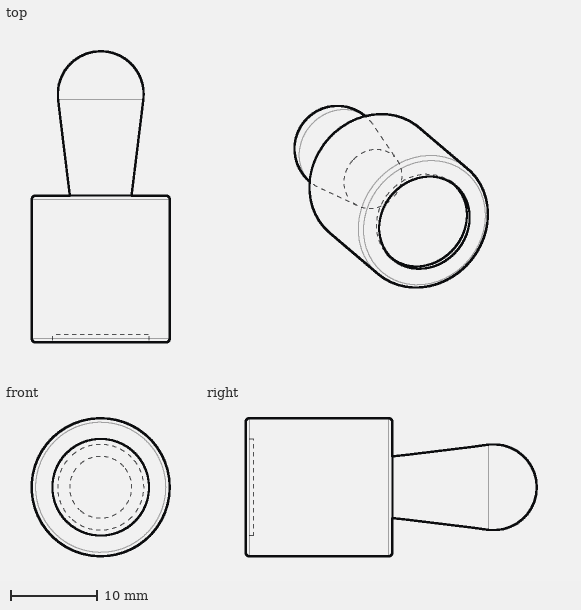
import cadquery as cq
import math

total_length = 33.7
body_diameter = 16.0
body_length = 17.0
edge_radius = 0.47
recess_diameter = 11.2
recess_depth = 0.9
ball_radius = 5.0
taper_half_angle = 7.0

body_radius = body_diameter / 2
taper = math.radians(taper_half_angle)
ball_center_y = total_length - ball_radius
tangent_radius = ball_radius * math.cos(taper)
tangent_y = ball_center_y - ball_radius * math.sin(taper)
neck_radius = tangent_radius - (tangent_y - body_length) * math.tan(taper)

arc_middle_angle = (math.pi / 2 - taper) / 2
arc_middle = (
    ball_radius * math.cos(arc_middle_angle),
    ball_center_y + ball_radius * math.sin(arc_middle_angle),
)


def make_body():
    """Cylinder with both outer rims rounded and a shallow recess in the open end."""
    body = (
        cq.Workplane("XZ")
        .circle(body_radius)
        .extrude(-body_length)
        .edges()
        .fillet(edge_radius)
    )
    recess = cq.Workplane("XZ").circle(recess_diameter / 2).extrude(-recess_depth)
    return body.cut(recess)


def make_knob():
    """Tapered neck ending in a ball, rooted inside the solid part of the body."""
    root_y = body_length / 2
    return (
        cq.Workplane("XY")
        .moveTo(0, root_y)
        .lineTo(neck_radius, root_y)
        .lineTo(neck_radius, body_length)
        .lineTo(tangent_radius, tangent_y)
        .threePointArc(arc_middle, (0, total_length))
        .close()
        .revolve(360, (0, 0, 0), (0, 1, 0))
    )


result = make_body().union(make_knob())